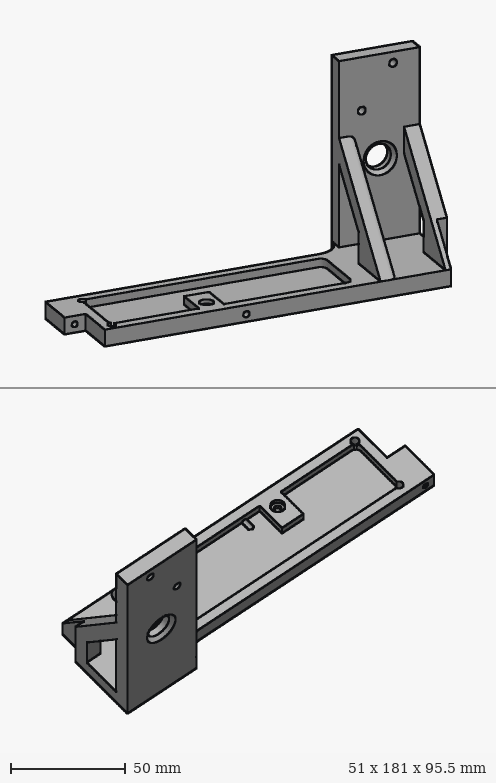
import cadquery as cq
import math

length = 181.0
width = 51.0
height = 95.5

plate_thickness = 7.8
plate_width = 38.7
base_thickness = 8.0
arm_left = 11.0
plate_front = length - plate_width
neck_radius = arm_left

tab_right = 31.1
tab_length = 10.1
back_notch_left = 36.0
back_notch_depth = 4.9

brace_top = 59.4
window_top = 46.9
window_right = 28.0
front_brace_thickness = 8.1
back_brace_thickness = 7.6
brace_edge_radius = 3.3
brace_slope = (brace_top - base_thickness) / (width - plate_thickness)
window_corner = window_top - brace_slope * (window_right - plate_thickness)

rim = 4.9
pocket_left = arm_left + rim
pocket_right = 46.0
pocket_front = tab_length + rim
pocket_back = 131.4
pocket_depth = 4.0
pocket_radius = 3.0
pocket_floor = base_thickness - pocket_depth

block_left = 30.5
block_front = 57.5
block_back = 69.5
block_hole_x = 40.9
block_hole_y = (block_front + block_back) / 2
counterbore_diameter = 6.5
counterbore_depth = 2.0
block_hole_diameter = 3.5
block_hole_depth = 4.0

relief_diameter = 3.8
relief_depth = 6.0
relief_y = 15.4
relief_xs = (16.5, 46.9)

pin_hole_diameter = 2.9
pin_hole_end = 40.4
pin_hole_drop = 0.4
pin_hole_z = pocket_floor - pin_hole_drop
pin_tip_length = 0.9
pin_hole_y = 78.0
tab_hole_diameter = 2.7
tab_hole_y = 4.9

screw_hole_diameter = 3.6
screw_holes = ((length - 12.9, 90.3), (length - 27.9, 70.4))
bore_diameter = 12.0
bore_chamfer = 2.0
bore_y = length - 19.0
bore_z = 46.5


def box(x0, x1, y0, y1, z0, z1):
    """Box between opposite corners."""
    return cq.Workplane("XY").box(x1 - x0, y1 - y0, z1 - z0, centered=False).translate((x0, y0, z0))


def x_hole(diameter, y, z, x0, x1):
    """Round cutter along X from x0 to x1."""
    return cq.Workplane("YZ", origin=(x0, y, z)).circle(diameter / 2).extrude(x1 - x0)


def blind_hole(diameter, x, y, depth):
    """Round cutter going down from the top of the base."""
    return cq.Workplane("XY", origin=(x, y, base_thickness)).circle(diameter / 2).extrude(-depth)


def x_cone(start_diameter, end_diameter, x, y, z, depth, direction):
    """Conical cutter starting at x and running towards +X (direction 1) or -X (direction -1)."""
    cone = cq.Solid.makeCone(
        start_diameter / 2, end_diameter / 2, depth, pnt=cq.Vector(x, y, z), dir=cq.Vector(direction, 0, 0)
    )
    return cq.Workplane(cone)


def bore_countersink(face_x, direction):
    """45 degree chamfer cutter of the bore, going into the plate from one of its faces."""
    mouth_diameter = bore_diameter + 2 * bore_chamfer
    return x_cone(mouth_diameter, bore_diameter, face_x, bore_y, bore_z, bore_chamfer, direction)


def make_base():
    diagonal = neck_radius * math.sin(math.radians(45))
    return (
        cq.Workplane("XY")
        .moveTo(arm_left, 0)
        .lineTo(tab_right, 0)
        .lineTo(tab_right, tab_length)
        .lineTo(width, tab_length)
        .lineTo(width, length - back_notch_depth)
        .lineTo(back_notch_left, length - back_notch_depth)
        .lineTo(back_notch_left, length)
        .lineTo(0, length)
        .lineTo(0, plate_front)
        .threePointArc((diagonal, plate_front - neck_radius + diagonal), (arm_left, plate_front - neck_radius))
        .close()
        .extrude(base_thickness)
    )


def make_brace(front, thickness):
    """Triangular brace whose front face lies at Y = front."""
    outline = [(plate_thickness, base_thickness), (width, base_thickness), (plate_thickness, brace_top)]
    return cq.Workplane("XZ", origin=(0, front, 0)).polyline(outline).close().extrude(-thickness)


def make_window():
    outline = [
        (plate_thickness, base_thickness),
        (window_right, base_thickness),
        (window_right, window_corner),
        (plate_thickness, window_top),
    ]
    return cq.Workplane("XZ", origin=(0, plate_front, 0)).polyline(outline).close().extrude(-plate_width)


def make_pocket():
    pocket = box(pocket_left, pocket_right, pocket_front, pocket_back, pocket_floor, base_thickness)
    pocket = pocket.edges("|Z").fillet(pocket_radius)
    return pocket.cut(box(block_left, width, block_front, block_back, 0, base_thickness))


front_brace = make_brace(plate_front, front_brace_thickness)
front_brace = front_brace.faces(">Y").edges("not(|X or |Z)").fillet(brace_edge_radius)
back_brace = make_brace(length - back_brace_thickness, back_brace_thickness)
back_brace = back_brace.cut(
    box(back_notch_left, width, length - back_notch_depth, length, base_thickness, height)
)
plate = box(0, plate_thickness, plate_front, length, 0, height)
result = make_base().union(plate).union(front_brace).union(back_brace).cut(make_window())

result = result.cut(make_pocket())
result = result.cut(blind_hole(counterbore_diameter, block_hole_x, block_hole_y, counterbore_depth))
result = result.cut(blind_hole(block_hole_diameter, block_hole_x, block_hole_y, block_hole_depth))
for relief_x in relief_xs:
    result = result.cut(blind_hole(relief_diameter, relief_x, relief_y, relief_depth))

pin_tip_start = pin_hole_end + pin_tip_length
result = result.cut(x_hole(pin_hole_diameter, pin_hole_y, pin_hole_z, pin_tip_start, width))
result = result.cut(x_cone(pin_hole_diameter, 0, pin_tip_start, pin_hole_y, pin_hole_z, pin_tip_length, -1))
result = result.cut(x_hole(tab_hole_diameter, tab_hole_y, base_thickness / 2, arm_left, tab_right))

for hole_y, hole_z in screw_holes:
    result = result.cut(x_hole(screw_hole_diameter, hole_y, hole_z, 0, plate_thickness))
result = result.cut(x_hole(bore_diameter, bore_y, bore_z, 0, plate_thickness))
result = result.cut(bore_countersink(0, 1)).cut(bore_countersink(plate_thickness, -1))